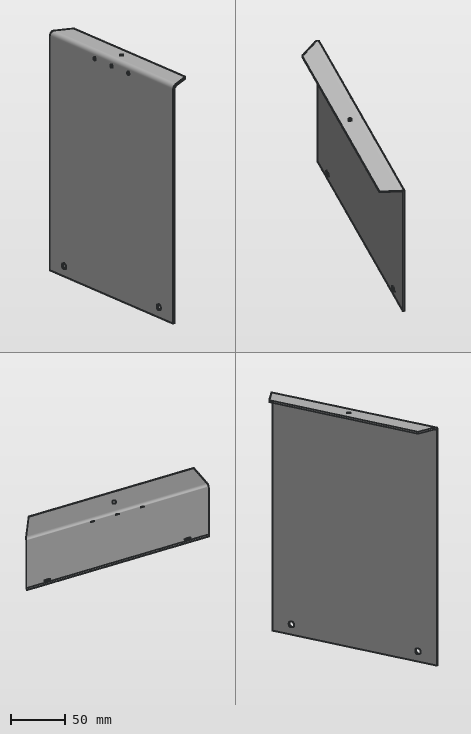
import cadquery as cq

width = 174.9
height = 236.0
depth = 22.0
thickness = 2.0
bend_outer_radius = 5.0
bend_inner_radius = bend_outer_radius - thickness

taper_start = 3.3
taper_inset = 8.3

small_hole_diameter = 3.3
upper_hole_spacing = 23.8
upper_hole_drop = 7.8
flange_hole_setback = 12.5
mount_hole_diameter = 6.0
mount_hole_spacing = 134.5
mount_hole_height = 10.1


def bent_sheet():
    """L-shaped sheet, centred on X, with its front face at Y = 0 and its foot at Z = 0."""
    outline = (
        cq.Workplane("YZ")
        .lineTo(thickness, 0)
        .lineTo(thickness, height - bend_outer_radius)
        .radiusArc((bend_outer_radius, height - thickness), bend_inner_radius)
        .lineTo(depth, height - thickness)
        .lineTo(depth, height)
        .lineTo(bend_outer_radius, height)
        .radiusArc((0, height - bend_outer_radius), -bend_outer_radius)
        .close()
    )
    return outline.extrude(width / 2, both=True)


def flange_end_cutter(side):
    """Triangular prism that tapers one end of the flange; side is -1 or 1."""
    end = side * width / 2
    rear_corner = side * (width / 2 - taper_inset)
    triangle = [(end, taper_start), (end, depth), (rear_corner, depth)]
    return cq.Workplane("XY").polyline(triangle).close().extrude(height)


def panel_holes(points, diameter):
    """Drills along Y through the panel at the given (x, z) points."""
    return cq.Workplane("XZ").pushPoints(points).circle(diameter / 2).extrude(-depth)


result = bent_sheet()
for side in (-1, 1):
    result = result.cut(flange_end_cutter(side))

upper_hole_points = [(i * upper_hole_spacing, height - upper_hole_drop) for i in (-1, 0, 1)]
mount_hole_points = [(side * mount_hole_spacing / 2, mount_hole_height) for side in (-1, 1)]
result = result.cut(panel_holes(upper_hole_points, small_hole_diameter))
result = result.cut(panel_holes(mount_hole_points, mount_hole_diameter))

flange_drill = (
    cq.Workplane("XY")
    .center(0, flange_hole_setback)
    .circle(small_hole_diameter / 2)
    .extrude(height)
)
result = result.cut(flange_drill)